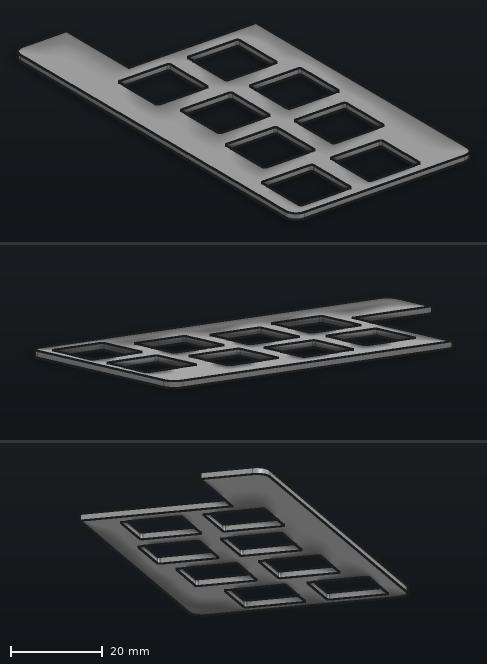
import cadquery as cq

length = 100.0
width = 50.0
thickness = 1.6
corner_radius = 3.0

notch_length = 22.1
tab_width = 15.0

key_size = 14.0
key_pitch = 19.0
key_corner_radius = 0.5
rows = 2
first_column_x = 33.0
first_row_y = 16.0
stagger_step = key_pitch / 8
column_stagger = [0, 1, 0, -2]


def make_plate():
    plate = cq.Workplane("XY").rect(length, width, centered=False).extrude(thickness)
    notch = (
        cq.Workplane("XY")
        .moveTo(0, tab_width)
        .rect(notch_length, width - tab_width, centered=False)
        .extrude(thickness)
    )
    rounded = plate.edges("|Z").edges("<Y or >X").fillet(corner_radius)
    return rounded.cut(notch)


def make_key_openings():
    centres = []
    for column, steps in enumerate(column_stagger):
        base_y = first_row_y + steps * stagger_step
        for row in range(rows):
            centres.append((first_column_x + column * key_pitch, base_y + row * key_pitch))
    return (
        cq.Workplane("XY")
        .pushPoints(centres)
        .rect(key_size, key_size)
        .extrude(thickness)
        .edges("|Z")
        .fillet(key_corner_radius)
    )


result = make_plate().cut(make_key_openings())